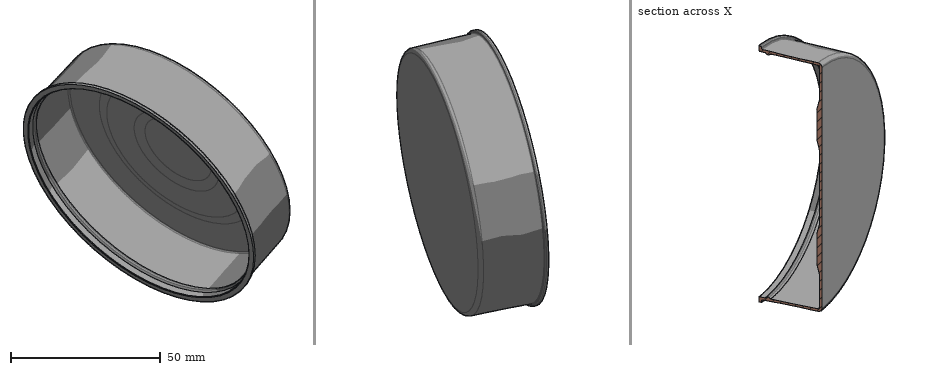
import cadquery as cq

flange_radius = 47.4
depth = 24.0

flange_thickness = 1.2
flange_edge_fillet = 0.4
flange_root_fillet = 0.2

wall_radius_open = 46.4
wall_radius_closed = 46.0
closed_end_fillet = 1.5

wall_thickness = 1.1
floor_y = depth - wall_thickness
floor_fillet = 0.5
mouth_chamfer = 0.25

bead_centre_y = 3.5
bead_half_width = 1.05
bead_crest_half_width = 0.35
bead_shoulder_radius = 44.75
bead_crest_radius = 44.65

ring_height = 1.0
ring_flank_width = 3.75
ring_base_outer = 32.4
ring_base_inner = 13.6


def outer_radius(y):
    """Radius of the tapered outer wall at distance y from the open end."""
    return wall_radius_open + (wall_radius_closed - wall_radius_open) * y / depth


def cavity_radius(y):
    """Radius of the cavity wall at distance y from the open end."""
    return outer_radius(y) - wall_thickness


def revolve_about_y(profile):
    """Turn an (r, y) profile through a full circle about the Y axis."""
    return profile.close().revolve(360, (0, 0, 0), (0, 1, 0))


def outer_body():
    """Solid cup blank: flange, root fillet, tapered wall and rounded closed end."""
    root_y = flange_thickness + flange_root_fillet
    body = revolve_about_y(
        cq.Workplane("XY")
        .moveTo(0, 0)
        .lineTo(flange_radius, 0)
        .lineTo(flange_radius, flange_thickness - flange_edge_fillet)
        .radiusArc((flange_radius - flange_edge_fillet, flange_thickness), -flange_edge_fillet)
        .lineTo(outer_radius(root_y) + flange_root_fillet, flange_thickness)
        .radiusArc((outer_radius(root_y), root_y), flange_root_fillet)
        .lineTo(wall_radius_closed, depth)
        .lineTo(0, depth)
    )
    return body.faces(">Y").edges().fillet(closed_end_fillet)


def cavity():
    """Space inside the cup, with a chamfered mouth and a filleted floor corner."""
    space = revolve_about_y(
        cq.Workplane("XY")
        .moveTo(0, 0)
        .lineTo(cavity_radius(0) + mouth_chamfer, 0)
        .lineTo(cavity_radius(mouth_chamfer), mouth_chamfer)
        .lineTo(cavity_radius(floor_y), floor_y)
        .lineTo(0, floor_y)
    )
    return space.faces(">Y").edges().fillet(floor_fillet)


def snap_bead():
    """Ring with sloping flanks and a rounded crest, rooted inside the wall."""
    start_y = bead_centre_y - bead_half_width
    end_y = bead_centre_y + bead_half_width
    root_radius = cavity_radius(bead_centre_y) + wall_thickness / 2
    return revolve_about_y(
        cq.Workplane("XY")
        .moveTo(root_radius, start_y)
        .lineTo(cavity_radius(start_y), start_y)
        .lineTo(bead_shoulder_radius, bead_centre_y - bead_crest_half_width)
        .threePointArc(
            (bead_crest_radius, bead_centre_y),
            (bead_shoulder_radius, bead_centre_y + bead_crest_half_width),
        )
        .lineTo(cavity_radius(end_y), end_y)
        .lineTo(root_radius, end_y)
    )


def floor_ring():
    """Flat-topped ring standing on the cavity floor."""
    ring_top_y = floor_y - ring_height
    return revolve_about_y(
        cq.Workplane("XY")
        .moveTo(ring_base_inner, floor_y)
        .lineTo(ring_base_inner + ring_flank_width, ring_top_y)
        .lineTo(ring_base_outer - ring_flank_width, ring_top_y)
        .lineTo(ring_base_outer, floor_y)
    )


result = outer_body().cut(cavity()).union(snap_bead()).union(floor_ring())